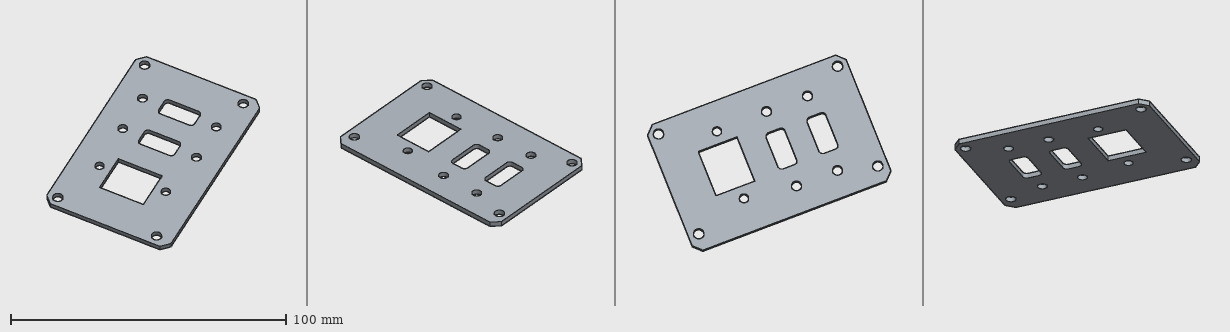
import cadquery as cq

PLATE_WIDTH = 50.6
PLATE_LENGTH = 77.6
PLATE_THICKNESS = 2.0
CORNER_CHAMFER = 3.0

MOUNT_HOLE_DIAMETER = 3.8
MOUNT_SPACING_X = 40.2
MOUNT_SPACING_Y = 69.9
MOUNT_CENTER_X = -1.1

CONNECTOR_WIDTH = 14.6
CONNECTOR_HEIGHT = 7.3
CONNECTOR_CORNER_RADIUS = 1.5
CONNECTOR_CENTER_X = 0.2
CONNECTOR_PITCH = 16.0
UPPER_CONNECTOR_Y = 20.7
CONNECTOR_HOLE_DIAMETER = 3.6
CONNECTOR_HOLE_SPACING = 30.0

SOCKET_WIDTH = 17.8
SOCKET_HEIGHT = 15.1
SOCKET_CENTER_X = -0.9
SOCKET_CENTER_Y = -16.3
SOCKET_HOLE_DIAMETER = 3.35
SOCKET_HOLE_SPACING = 27.0
SOCKET_HOLE_RISE = 1.5


def make_plate():
    """Flat plate with its four vertical corners chamfered."""
    plate = cq.Workplane("XY").rect(PLATE_WIDTH, PLATE_LENGTH).extrude(PLATE_THICKNESS)
    return plate.edges("|Z").chamfer(CORNER_CHAMFER)


def make_opening(width, height, x, y):
    """Rectangular cutter through the full thickness, centred at (x, y)."""
    return cq.Workplane("XY").center(x, y).rect(width, height).extrude(PLATE_THICKNESS)


def make_hole_pair(diameter, spacing, x, y):
    """Two round cutters side by side along X, centred as a pair at (x, y)."""
    places = [(-spacing / 2, 0), (spacing / 2, 0)]
    return cq.Workplane("XY").center(x, y).pushPoints(places).circle(diameter / 2).extrude(PLATE_THICKNESS)


def cut_mounting_holes(plate):
    for y in (-MOUNT_SPACING_Y / 2, MOUNT_SPACING_Y / 2):
        plate = plate.cut(make_hole_pair(MOUNT_HOLE_DIAMETER, MOUNT_SPACING_X, MOUNT_CENTER_X, y))
    return plate


def cut_connector(plate, y):
    opening = make_opening(CONNECTOR_WIDTH, CONNECTOR_HEIGHT, CONNECTOR_CENTER_X, y)
    opening = opening.edges("|Z").fillet(CONNECTOR_CORNER_RADIUS)
    holes = make_hole_pair(CONNECTOR_HOLE_DIAMETER, CONNECTOR_HOLE_SPACING, CONNECTOR_CENTER_X, y)
    return plate.cut(opening).cut(holes)


def cut_socket(plate):
    opening = make_opening(SOCKET_WIDTH, SOCKET_HEIGHT, SOCKET_CENTER_X, SOCKET_CENTER_Y)
    hole_y = SOCKET_CENTER_Y + SOCKET_HOLE_RISE
    holes = make_hole_pair(SOCKET_HOLE_DIAMETER, SOCKET_HOLE_SPACING, SOCKET_CENTER_X, hole_y)
    return plate.cut(opening).cut(holes)


result = cut_mounting_holes(make_plate())
for connector_y in (UPPER_CONNECTOR_Y, UPPER_CONNECTOR_Y - CONNECTOR_PITCH):
    result = cut_connector(result, connector_y)
result = cut_socket(result)